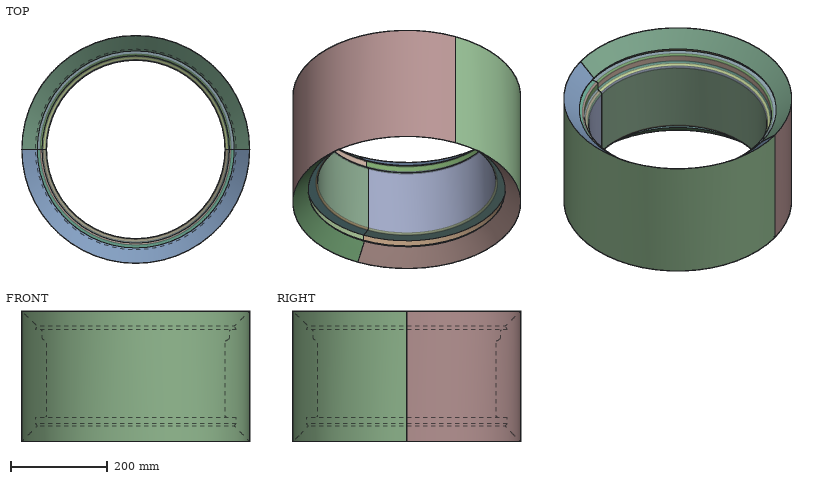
import cadquery as cq
import math

outer_radius = 237.0
length = 271.0
half_gap = 0.1
half_length = length / 2

bore_radius = 185.0
lip_radius = 204.5
groove_radius = 208.5
undercut_depth = 38.0
upper_lip_depth = 31.0
lower_lip_depth = 32.5
lower_ledge_depth = 50.5

seat_radius = 194.5
seat_depth = 54.0
shoulder_outer_radius = 192.5
shoulder_outer_depth = 58.5
shoulder_inner_radius = 187.0
shoulder_inner_depth = 61.5
bore_depth = 66.5

ledge_round = 4.0
shoulder_bulge = 0.65
diagonal = math.sqrt(0.5)


def from_top(depth):
    return half_length - depth


def from_bottom(depth):
    return depth - half_length


def convex_midpoint(center_radius, center_z, z_direction):
    """Middle of a quarter round facing the axis and the given Z direction."""
    offset = ledge_round * diagonal
    return center_radius - offset, center_z + z_direction * offset


def sleeve_profile():
    """Radial section of the sleeve wall, from the lower knife edge up the inside."""
    lower_ledge = from_bottom(lower_ledge_depth)
    upper_ledge = from_top(undercut_depth)
    lower_round = (bore_radius + ledge_round, lower_ledge + ledge_round)
    upper_round = (seat_radius + ledge_round, upper_ledge - ledge_round)
    return (
        cq.Workplane("XZ")
        .moveTo(outer_radius, -half_length)
        .lineTo(lip_radius, from_bottom(lower_lip_depth))
        .lineTo(groove_radius, from_bottom(undercut_depth))
        .lineTo(groove_radius, lower_ledge)
        .lineTo(lower_round[0], lower_ledge)
        .threePointArc(convex_midpoint(*lower_round, -1), (bore_radius, lower_round[1]))
        .lineTo(bore_radius, from_top(bore_depth))
        .sagittaArc((shoulder_inner_radius, from_top(shoulder_inner_depth)), shoulder_bulge)
        .lineTo(shoulder_outer_radius, from_top(shoulder_outer_depth))
        .sagittaArc((seat_radius, from_top(seat_depth)), -shoulder_bulge)
        .lineTo(seat_radius, upper_round[1])
        .threePointArc(convex_midpoint(*upper_round, 1), (upper_round[0], upper_ledge))
        .lineTo(groove_radius, upper_ledge)
        .lineTo(lip_radius, from_top(upper_lip_depth))
        .lineTo(outer_radius, half_length)
        .close()
    )


def half_shell(side):
    """Half of the sleeve on the +Y (side = 1) or -Y (side = -1) side of the split."""
    sleeve = sleeve_profile().revolve(360, (0, 0, 0), (0, 1, 0))
    keep = (
        cq.Workplane("XY")
        .box(2 * outer_radius, outer_radius, length)
        .translate((0, side * (outer_radius / 2 + half_gap), 0))
    )
    return sleeve.intersect(keep)


half_shells = [half_shell(side).val() for side in (1, -1)]

result = cq.Compound.makeCompound([solid for half in half_shells for solid in half.Solids()])